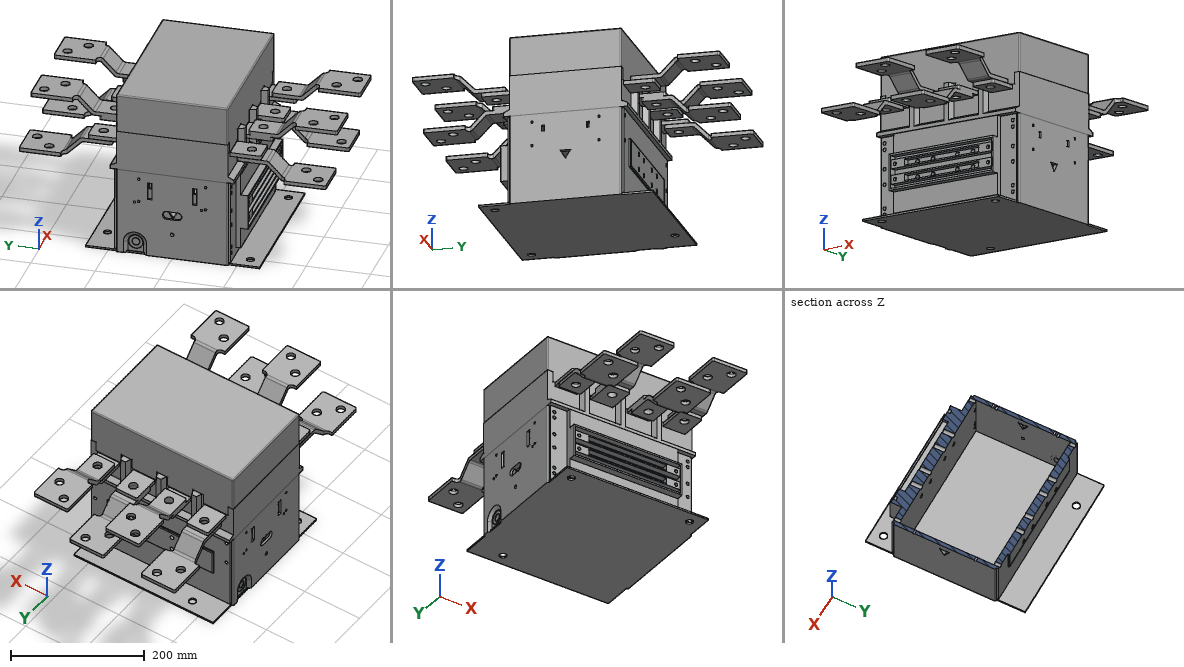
import cadquery as cq
import math

WIDTH = 260.0
DEPTH = 173.5
TOP_Z = 263.0
COVER_Z = 202.5
COLLAR_Z = 138.5
EDGE_RADIUS = 2.0
HALF_W = WIDTH / 2
HALF_D = DEPTH / 2
MARGIN = 14.5

POLE_PITCH = 65.0
POLE_XS = [POLE_PITCH * (i - 1.5) for i in range(4)]
COLLAR_HALF_D = 96.0
RIB_PITCH = 64.5
RIB_MOUTH_HALF = 4.5
RIB_ROOT_HALF = 7.5
POCKET_MOUTH_Z = 144.0
POCKET_ROOT_Z = 149.0

TONGUE_W = 45.0
TONGUE_Z = 184.5

BAR_T = 6.0
BAR_W = 39.5
TERMINAL_Z = 180.5
TERMINAL_END_Y = 134.0
OUTER_TERMINAL_X = 97.0
TERMINAL_ROOT_Y = 81.0
BOLT_D = 14.0
BOLT_Y = 115.0
BAR_START_Y = 97.0
BAR_END_Y = 238.0
CRANK_START_Y = 143.0
CRANK_RISE = 24.0
CRANK_ANGLE = 45
CRANK_BEND_R = 6.5
PAD_W = 62.0
PAD_START_Y = 173.5
PAD_HOLE_Y = 209.0
PAD_HOLE_SHIFT = 13.0
BAR_CORNER_R = 3.0
PAD_NECK_R = 6.5

WALL = 7.0
BASE_HALF_W = 127.0
BASE_HALF_D = 135.0
BASE_T = 3.0
BASE_FRONT_HOLE_X = 106.0
BASE_BACK_HOLE_X = -75.5
BASE_HOLE_Y = 115.0
BASE_HOLE_D = 12.0
PANEL_HALF_W = 126.5
PANEL_Y = 90.0
PANEL_BOTTOM_Z = 4.0
PANEL_TOP_Z = 137.5
PANEL_HOLE_X = 120.0
PANEL_HOLE_D = 5.0
PANEL_THROUGH_ZS = [128.0, 88.0]
PANEL_FRONT_ZS = [118.0, 64.3, 27.5, 17.5]

BLOCK_HALF_W = 97.0
BLOCK_PLATE_Y = 97.5
BLOCK_PLATE_BOTTOM_Z = 15.0
BLOCK_Y = 109.0
BLOCK_MID_Z = 76.0
BLOCK_H = 56.0
BLOCK_RIM = 3.0
BLOCK_GROOVE_DEPTH = 11.0
ROW_SETBACK = 1.0
ROW_OFFSET_Z = 12.0
ROW_H = 14.0
ROW_SLOT_LENGTH = 139.0
ROW_SLOT_H = 9.5
ROW_SLOT_DEPTH = 9.5
CONTACT_HOLE_XS = [-52.0, -23.0, 23.0, 52.0]
CONTACT_HOLE_D = 6.5
ROW_END_HOLE_X = 87.0
ROW_END_HOLE_D = 5.0
ROW_END_HOLE_DEPTH = 4.8

BACK_PLATE_Y = 93.5
BACK_PLATE_H = 44.5
BACK_PLATE_CHAMFER = 1.5

SLOT_Y = 34.7
SLOT_W = 6.5
SLOT_MID_Z = 108.0
SLOT_H = 27.0
SIDE_RECESS_DEPTH = 4.0
THROUGH_SLOT_W = 4.5
THROUGH_SLOT_MID_Z = 115.0
THROUGH_SLOT_H = 9.0
OVAL_Z = 71.5
OVAL_LENGTH = 29.5
OVAL_H = 13.0
TRIANGLE_HALF_W = 8.0
PIN_HOLE_D = 3.4
PIN_HOLE_Y = 52.0
PIN_THROUGH_ZS = [126.0, 89.0]
PIN_NEAR_POINTS = [(58.5, 87.0), (-45.5, 87.0)]
CENTRE_HOLE_D = 5.0
CENTRE_HOLE_Z = 40.0

ENTRY_Y = 57.5
ENTRY_Z = 18.5
ENTRY_MOUTH_R = 18.0
ENTRY_FLOOR_R = 12.0
ENTRY_DEPTH = 4.5
ENTRY_SEAT_D = 22.0
ENTRY_SEAT_DEPTH = 1.0
ENTRY_HOLE_D = 12.0
ENTRY_HOLE_DEPTH = 2.0


def block(x0, x1, y0, y1, z0, z1):
    """Axis-aligned box between two opposite corners."""
    return cq.Workplane("XY").box(x1 - x0, y1 - y0, z1 - z0, centered=False).translate((x0, y0, z0))


def hole_along_x(points, diameter, x0, x1):
    """Cylinders at (y, z) points between two x positions."""
    plane = cq.Workplane("YZ", origin=(x0, 0, 0))
    return plane.pushPoints(points).circle(diameter / 2).extrude(x1 - x0)


def hole_along_y(points, diameter, y0, y1):
    """Cylinders at (x, z) points between two y positions."""
    plane = cq.Workplane("XZ", origin=(0, y0, 0))
    return plane.pushPoints(points).circle(diameter / 2).extrude(y0 - y1)


def turned(shape):
    """The same shape turned half a turn about the vertical axis."""
    return shape.rotate((0, 0, 0), (0, 0, 1), 180)


def tongues():
    """Full-depth strips above the terminals, one per pole."""
    strips = cq.Workplane("XY", origin=(0, 0, TONGUE_Z)).pushPoints([(x, 0) for x in POLE_XS])
    return strips.rect(TONGUE_W, DEPTH).extrude(COVER_Z - TONGUE_Z)


def make_cover():
    lid = block(-HALF_W, HALF_W, -HALF_D, HALF_D, COVER_Z, TOP_Z)
    lid = lid.edges("|Z or >Z").fillet(EDGE_RADIUS)
    return lid.union(tongues())


def pocket(x_left, x_right, left_inset, right_inset):
    """Pocket in the -Y side of the collar, narrowing inwards and open at the top."""
    top = COVER_Z + MARGIN
    reach = COLLAR_HALF_D - HALF_D

    def section(y, depth_share):
        left = x_left + left_inset * depth_share
        right = x_right - right_inset * depth_share
        floor = POCKET_MOUTH_Z + (POCKET_ROOT_Z - POCKET_MOUTH_Z) * depth_share
        corners = [(left, y, floor), (right, y, floor), (right, y, top), (left, y, top)]
        return cq.Wire.makePolygon([cq.Vector(*c) for c in corners], close=True)

    sections = [section(-HALF_D - reach, 0), section(-HALF_D, 1)]
    return cq.Workplane(obj=cq.Solid.makeLoft(sections, True))


def make_collar():
    collar = block(-HALF_W, HALF_W, -COLLAR_HALF_D, COLLAR_HALF_D, COLLAR_Z, COVER_Z)
    inset = RIB_ROOT_HALF - RIB_MOUTH_HALF
    inner_edge = RIB_PITCH + RIB_MOUTH_HALF
    pockets = [
        pocket(-HALF_W - MARGIN, -inner_edge, 0, inset),
        pocket(-RIB_PITCH + RIB_MOUTH_HALF, -RIB_MOUTH_HALF, inset, inset),
        pocket(RIB_MOUTH_HALF, RIB_PITCH - RIB_MOUTH_HALF, inset, inset),
        pocket(inner_edge, HALF_W + MARGIN, inset, 0),
    ]
    for cutter in pockets:
        collar = collar.cut(cutter).cut(turned(cutter))
    return collar.cut(tongues())


def make_terminal(x):
    """Flat terminal reaching out of the -Y side of the collar."""
    z0 = TERMINAL_Z - BAR_T / 2
    terminal = block(x - BAR_W / 2, x + BAR_W / 2, -TERMINAL_END_Y, -TERMINAL_ROOT_Y, z0, z0 + BAR_T)
    terminal = terminal.edges("|Z and <Y").fillet(BAR_CORNER_R)
    hole = cq.Workplane("XY", origin=(x, -BOLT_Y, z0)).circle(BOLT_D / 2).extrude(BAR_T)
    return terminal.cut(hole)


def make_bar(x, up, hole_sign):
    """Cranked bar on the -Y side: its side profile trimmed to its plan outline."""
    half_t = BAR_T / 2
    bend_shift = BAR_T * math.tan(math.radians(CRANK_ANGLE / 2))
    crank_end = CRANK_START_Y + CRANK_RISE / math.tan(math.radians(CRANK_ANGLE))
    far_z = half_t + CRANK_RISE
    profile = [
        (-BAR_START_Y, half_t),
        (-CRANK_START_Y - bend_shift, half_t),
        (-crank_end - bend_shift, far_z),
        (-BAR_END_Y, far_z),
        (-BAR_END_Y, far_z + BAR_T),
        (-crank_end, far_z + BAR_T),
        (-CRANK_START_Y, half_t + BAR_T),
        (-BAR_START_Y, half_t + BAR_T),
    ]
    strip = cq.Workplane("YZ").polyline(profile).close().extrude(PAD_W / 2, both=True)
    strip = strip.edges("|X and (not <Y) and (not >Y)").fillet(CRANK_BEND_R)

    height = far_z + BAR_T
    neck = block(-BAR_W / 2, BAR_W / 2, -BAR_END_Y, -BAR_START_Y, 0, height)
    neck = neck.edges("|Z and >Y").fillet(BAR_CORNER_R)
    pad = block(-PAD_W / 2, PAD_W / 2, -BAR_END_Y, -PAD_START_Y, 0, height)
    pad = pad.edges("|Z and <Y").fillet(BAR_CORNER_R)
    plan = pad.union(neck)
    for side in (-1, 1):
        corner = cq.selectors.NearestToPointSelector((side * BAR_W / 2, -PAD_START_Y, height / 2))
        plan = plan.edges("|Z").edges(corner).fillet(PAD_NECK_R)

    shift = hole_sign * PAD_HOLE_SHIFT
    holes = [
        (0, -BOLT_Y),
        (shift, -PAD_HOLE_Y + PAD_HOLE_SHIFT),
        (-shift, -PAD_HOLE_Y - PAD_HOLE_SHIFT),
    ]
    drill = cq.Workplane("XY").pushPoints(holes).circle(BOLT_D / 2).extrude(height)
    bar = strip.intersect(plan).cut(drill)
    if not up:
        bar = bar.mirror("XY")
    return bar.translate((x, 0, TERMINAL_Z))


def add_terminals(body):
    """Poles alternate between bars cranked down and bars cranked up, alike at front and back."""
    for index, x in enumerate(POLE_XS):
        up = index % 2 == 1
        hole_sign = -1 if up else 1
        terminal_x = x if abs(x) < POLE_PITCH else math.copysign(OUTER_TERMINAL_X, x)
        front = make_terminal(terminal_x).union(make_bar(x, up, hole_sign))
        back = turned(make_terminal(-terminal_x).union(make_bar(-x, up, hole_sign)))
        body = body.union(front).union(back)
    return body


def make_contact_block():
    half_h = BLOCK_H / 2
    plate = block(-BLOCK_HALF_W, BLOCK_HALF_W, -BLOCK_PLATE_Y, -PANEL_Y, BLOCK_PLATE_BOTTOM_Z, PANEL_TOP_Z)
    z0 = BLOCK_MID_Z - half_h
    z1 = BLOCK_MID_Z + half_h
    body = plate.union(block(-BLOCK_HALF_W, BLOCK_HALF_W, -BLOCK_Y, -BLOCK_PLATE_Y, z0, z1))
    inner_half_w = BLOCK_HALF_W - BLOCK_RIM
    floor_y = -BLOCK_Y + BLOCK_GROOVE_DEPTH
    z_in0 = z0 + BLOCK_RIM
    z_in1 = z1 - BLOCK_RIM
    body = body.cut(block(-inner_half_w, inner_half_w, -BLOCK_Y, floor_y, z_in0, z_in1))
    row_y = -BLOCK_Y + ROW_SETBACK
    for side in (-1, 1):
        z = BLOCK_MID_Z + side * ROW_OFFSET_Z
        row = block(-inner_half_w, inner_half_w, row_y, floor_y, z - ROW_H / 2, z + ROW_H / 2)
        half_slot = ROW_SLOT_LENGTH / 2
        slot_floor = row_y + ROW_SLOT_DEPTH
        slot = block(-half_slot, half_slot, row_y, slot_floor, z - ROW_SLOT_H / 2, z + ROW_SLOT_H / 2)
        ends = [(-ROW_END_HOLE_X, z), (ROW_END_HOLE_X, z)]
        end_holes = hole_along_y(ends, ROW_END_HOLE_D, row_y, row_y + ROW_END_HOLE_DEPTH)
        body = body.union(row.cut(slot).cut(end_holes))
    return body


def make_frame():
    """Hollow lower casing with both panels and the parts on them."""
    frame = block(-HALF_W, HALF_W, -HALF_D, HALF_D, 0, COLLAR_Z).edges("|Z").fillet(EDGE_RADIUS)
    for y0, y1 in [(-PANEL_Y, -HALF_D), (HALF_D, PANEL_Y)]:
        frame = frame.union(block(-PANEL_HALF_W, PANEL_HALF_W, y0, y1, PANEL_BOTTOM_Z, PANEL_TOP_Z))
    inner_w = HALF_W - WALL
    inner_d = HALF_D - WALL
    frame = frame.cut(block(-inner_w, inner_w, -inner_d, inner_d, BASE_T, COLLAR_Z))

    frame = frame.union(make_contact_block())
    half_h = BACK_PLATE_H / 2
    z0 = BLOCK_MID_Z - half_h
    back_plate = block(-BLOCK_HALF_W, BLOCK_HALF_W, PANEL_Y, BACK_PLATE_Y, z0, z0 + BACK_PLATE_H)
    frame = frame.union(back_plate.faces(">Y").edges().chamfer(BACK_PLATE_CHAMFER))
    frame = cut_front_and_back_holes(frame)
    return cut_cable_entry(cut_side_openings(frame))


def make_base_plate():
    plate = block(-BASE_HALF_W, BASE_HALF_W, -BASE_HALF_D, BASE_HALF_D, 0, BASE_T)
    points = [
        (-BASE_FRONT_HOLE_X, -BASE_HOLE_Y),
        (BASE_FRONT_HOLE_X, -BASE_HOLE_Y),
        (BASE_BACK_HOLE_X, BASE_HOLE_Y),
    ]
    return plate.cut(cq.Workplane("XY").pushPoints(points).circle(BASE_HOLE_D / 2).extrude(BASE_T))


def cut_front_and_back_holes(frame):
    through = [(side * PANEL_HOLE_X, z) for side in (-1, 1) for z in PANEL_THROUGH_ZS]
    front_only = [(side * PANEL_HOLE_X, z) for side in (-1, 1) for z in PANEL_FRONT_ZS]
    row_zs = [BLOCK_MID_Z - ROW_OFFSET_Z, BLOCK_MID_Z + ROW_OFFSET_Z]
    contacts = [(x, z) for x in CONTACT_HOLE_XS for z in row_zs]
    frame = frame.cut(hole_along_y(through, PANEL_HOLE_D, -PANEL_Y, PANEL_Y))
    frame = frame.cut(hole_along_y(front_only, PANEL_HOLE_D, -PANEL_Y, 0))
    return frame.cut(hole_along_y(contacts, CONTACT_HOLE_D, -BLOCK_Y, BACK_PLATE_Y))


def cut_side_openings(frame):
    """Shallow recesses in the -X wall, each with a smaller opening that also passes the +X wall."""
    recess_x = -HALF_W + SIDE_RECESS_DEPTH
    for side in (-1, 1):
        y = side * SLOT_Y
        z0 = SLOT_MID_Z - SLOT_H / 2
        frame = frame.cut(block(-HALF_W, recess_x, y - SLOT_W / 2, y + SLOT_W / 2, z0, z0 + SLOT_H))
        y0 = y - THROUGH_SLOT_W / 2
        z0 = THROUGH_SLOT_MID_Z - THROUGH_SLOT_H / 2
        frame = frame.cut(block(-HALF_W, HALF_W, y0, y0 + THROUGH_SLOT_W, z0, z0 + THROUGH_SLOT_H))

    wall_plane = cq.Workplane("YZ", origin=(-HALF_W, 0, OVAL_Z))
    frame = frame.cut(wall_plane.slot2D(OVAL_LENGTH, OVAL_H).extrude(SIDE_RECESS_DEPTH))
    corners = [(-TRIANGLE_HALF_W, OVAL_H / 2), (TRIANGLE_HALF_W, OVAL_H / 2), (0, -OVAL_H / 2)]
    frame = frame.cut(wall_plane.polyline(corners).close().extrude(WIDTH))

    through = [(side * PIN_HOLE_Y, z) for side in (-1, 1) for z in PIN_THROUGH_ZS]
    frame = frame.cut(hole_along_x(through, PIN_HOLE_D, -HALF_W, HALF_W))
    frame = frame.cut(hole_along_x(PIN_NEAR_POINTS, PIN_HOLE_D, -HALF_W, 0))
    return frame.cut(hole_along_x([(0, CENTRE_HOLE_Z)], CENTRE_HOLE_D, -HALF_W, 0))


def cut_cable_entry(frame):
    """Arched recess with sloping walls, with a shallow seat and a deeper blind hole in its floor."""
    slope = math.degrees(math.atan((ENTRY_MOUTH_R - ENTRY_FLOOR_R) / ENTRY_DEPTH))
    arch = (
        cq.Workplane("YZ", origin=(-HALF_W, ENTRY_Y, ENTRY_Z))
        .moveTo(-ENTRY_MOUTH_R, 0)
        .threePointArc((0, ENTRY_MOUTH_R), (ENTRY_MOUTH_R, 0))
        .lineTo(ENTRY_MOUTH_R, -ENTRY_Z - MARGIN)
        .lineTo(-ENTRY_MOUTH_R, -ENTRY_Z - MARGIN)
        .close()
        .extrude(ENTRY_DEPTH, taper=slope)
    )
    centre = [(ENTRY_Y, ENTRY_Z)]
    floor_x = -HALF_W + ENTRY_DEPTH
    seat = hole_along_x(centre, ENTRY_SEAT_D, floor_x, floor_x + ENTRY_SEAT_DEPTH)
    hole = hole_along_x(centre, ENTRY_HOLE_D, floor_x, floor_x + ENTRY_HOLE_DEPTH)
    return frame.cut(arch).cut(seat).cut(hole)


def make_housing():
    housing = make_frame().union(make_base_plate())
    return add_terminals(make_collar()).union(housing, clean=False).solids()


cover = make_cover()
housing = make_housing()

result = cq.Compound.makeCompound([cover.val(), housing.val()])